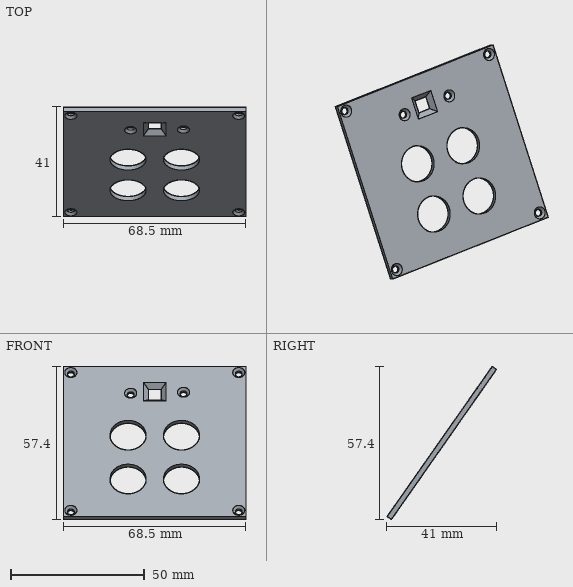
import cadquery as cq

panel_width = 68.5
panel_height = 68.65
thickness = 2.0
lean_angle = 55.0

screw_diameter = 2.6
sink_diameter = 4.5
sink_angle = 90.0
corner_inset = 2.8
upper_screws = [(-9.05, 22.05), (10.75, 22.5)]

opening_diameter = 13.5
opening_pitch = 20.0
opening_grid_center = (0, -7.1)

window_front = 8.4
window_back = 4.65
window_center = (0, 22.75)


def make_panel():
    """Panel lying flat, front face up at Z = 0 and centred on the origin."""
    return cq.Workplane("XY").rect(panel_width, panel_height).extrude(-thickness)


def front_plane(center):
    """Workplane on the front face, with its origin at the given point."""
    return cq.Workplane("XY").center(*center)


def cut_screw_holes(body):
    corner_x = panel_width / 2 - corner_inset
    corner_y = panel_height / 2 - corner_inset
    corners = [(x, y) for x in (-corner_x, corner_x) for y in (-corner_y, corner_y)]
    return (
        body.faces(">Z")
        .workplane(origin=(0, 0, 0))
        .pushPoints(corners + upper_screws)
        .cskHole(screw_diameter, sink_diameter, sink_angle)
    )


def cut_round_openings(body):
    cutter = (
        front_plane(opening_grid_center)
        .rarray(opening_pitch, opening_pitch, 2, 2)
        .circle(opening_diameter / 2)
        .extrude(-thickness)
    )
    return body.cut(cutter)


def cut_window(body):
    cutter = (
        front_plane(window_center)
        .rect(window_front, window_front)
        .workplane(offset=-thickness)
        .rect(window_back, window_back)
        .loft(ruled=True)
    )
    return body.cut(cutter)


panel = make_panel()
panel = cut_screw_holes(panel)
panel = cut_round_openings(panel)
panel = cut_window(panel)

result = panel.rotate((0, 0, 0), (1, 0, 0), lean_angle)